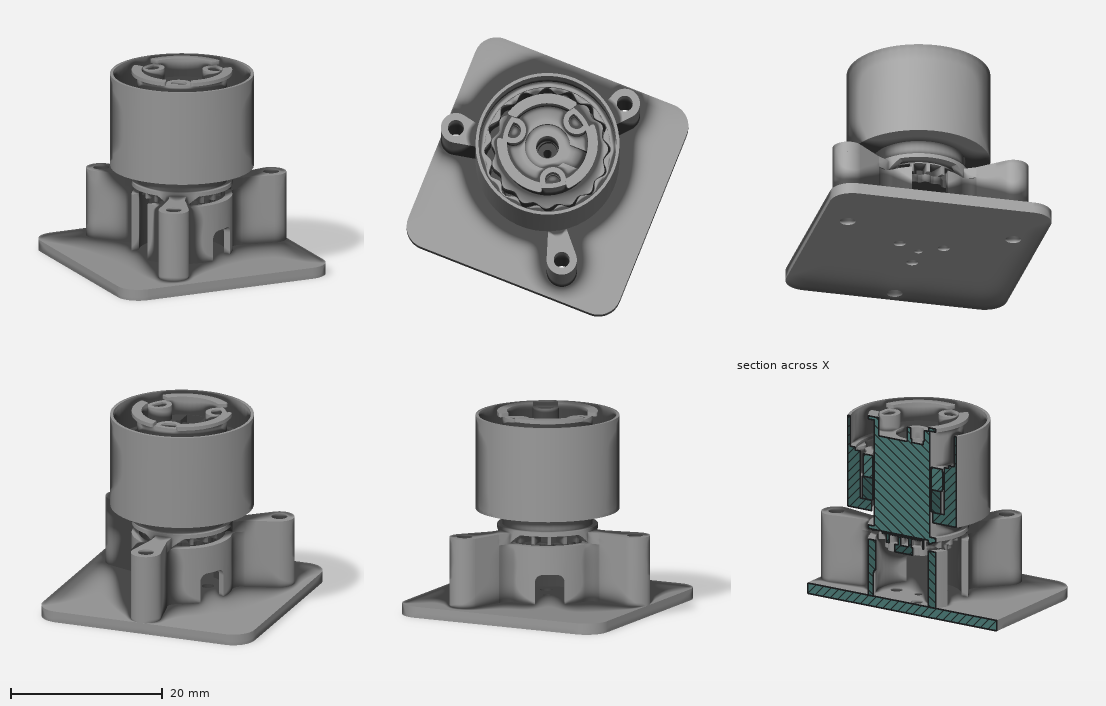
import cadquery as cq
import math

EAR_COUNT = 3
EAR_ANGLES = [90 + 360 / EAR_COUNT * i for i in range(EAR_COUNT)]
WINDOW_ANGLES = [angle + 180 / EAR_COUNT for angle in EAR_ANGLES]
EAR_PITCH_R = 13.0
EAR_BOSS_R = 2.0
SCREW_D = 2.1
EAR_NECK_START = 8.3
EAR_NECK_HALF_W = 1.1
CENTRE_HOLE_D = 1.1
TALL = 100.0

PLATE_SIZE = 30.0
PLATE_T = 1.5
PLATE_CORNER_R = 3.0
WIRE_HOLE_D = 1.6
WIRE_HOLE_PITCH_R = 3.46

STAND_TOP = 9.25
STAND_OD = 13.3
STAND_ID = 11.4
FLARE_ANGLE = 16.0
FRONT_GAP_W = 4.9
ARCH_W = 3.9
ARCH_H = 4.0
ARCH_CORNER_R = 1.0
ARCH_ANGLES = [angle for angle in WINDOW_ANGLES if angle % 360 != 270]

EAR_TOP = 10.75
FLANGE_TOP = 11.2
HUB_D = 11.9
HUB_TOP = 25.8
HOOK_OD = 13.3
HOOK_TOP = 26.3
HOOK_SLOT_W = 3.3
HOOK_CORNER_R = 0.3
POCKET_D = 10.7
POCKET_FLOOR = 23.8
VENT_TOP = 10.65
VENT_TOP_W = 7.7
VENT_BOTTOM_W = 10.4
VENT_NEAR_X = 1.5
VENT_FAR_X = 7.3
POST_D = 3.46
POST_PITCH_R = 4.9
POST_HOLE_D = 2.1
POST_BORE_D = 1.85
POST_HOLE_DEPTH = 1.5
POST_BORE_DEPTH = 0.5
RECESS_D = 6.0
RECESS_FLOOR = 23.2
SHAFT_HOLE_D = 3.0
SHAFT_HOLE_DEPTH = 4.0
SHAFT_SEAT_DEPTH = 1.0
SHAFT_SEAT_SHIFT = 0.22
CHUTE_W = 2.6
CHUTE_R = 1.6
CHUTE_END = 5.2

KNOB_OD = 19.0
KNOB_ID = 18.2
KNOB_BOTTOM = 13.2
KNOB_TOP = 25.8
KNOB_FLOOR_T = 1.5
KNOB_BORE_D = 12.4
LEDGE_Z = 21.6
LEDGE_ID = 16.7
LOBE_TOP = 21.2
KNOB_LOBES = 16
KNOB_LOBE_MEAN_R = 7.95
KNOB_LOBE_AMPLITUDE = 0.4

DISC_LOBES = KNOB_LOBES - 1
DISC_MEAN_R = 7.45
DISC_AMPLITUDE = 0.3
DISC_OFFSET = 0.28
DISC_DIRECTIONS = [90, 270]
DISC_BORE_D = 12.1
DISC_TOP = 20.9
DISC_T = (DISC_TOP - KNOB_BOTTOM - KNOB_FLOOR_T) / len(DISC_DIRECTIONS)
POINTS_PER_LOBE = 8

WHEEL_D = 10.5
WHEEL_BOTTOM = 8.15
WHEEL_TOP = 10.55
WHEEL_COVER_T = 0.15
VANE_COUNT = 15
VANE_T = 0.45
VANE_CORE_D = 6.0
GEAR_CORE_D = 8.2
GEAR_TOOTH_D = 1.6
GEAR_TOOTH_PITCH_R = 3.6


def cylinder(diameter, bottom, top):
    return cq.Workplane("XY").workplane(offset=bottom).circle(diameter / 2).extrude(top - bottom)


def tube(outer_d, inner_d, bottom, top):
    return cylinder(outer_d, bottom, top).cut(cylinder(inner_d, bottom, top))


def around(shape, angle):
    """Turn a feature built along +X to the given angle about Z."""
    return shape.rotate((0, 0, 0), (0, 0, 1), angle)


def ear(bottom, top):
    """Screw ear along +X: a round boss with straight sides that taper toward the axis."""
    lean = math.asin((EAR_BOSS_R - EAR_NECK_HALF_W) / (EAR_PITCH_R - EAR_NECK_START))
    tangent_x = EAR_PITCH_R - EAR_BOSS_R * math.sin(lean)
    tangent_y = EAR_BOSS_R * math.cos(lean)
    return (
        cq.Workplane("XY").workplane(offset=bottom)
        .moveTo(EAR_NECK_START, -EAR_NECK_HALF_W)
        .lineTo(tangent_x, -tangent_y)
        .threePointArc((EAR_PITCH_R + EAR_BOSS_R, 0), (tangent_x, tangent_y))
        .lineTo(EAR_NECK_START, EAR_NECK_HALF_W)
        .close().extrude(top - bottom)
    )


def screw_holes():
    return (
        cq.Workplane("XY")
        .polarArray(EAR_PITCH_R, EAR_ANGLES[0], 360, EAR_COUNT)
        .circle(SCREW_D / 2).extrude(TALL)
    )


def lobed_prism(lobes, mean_r, amplitude, phase, bottom, top):
    """Prism whose radius swings once per lobe, with a lobe tip at the phase angle."""
    count = lobes * POINTS_PER_LOBE
    outline = []
    for i in range(count):
        angle = 2 * math.pi * i / count
        radius = mean_r + amplitude * math.cos(lobes * angle)
        turned = angle + math.radians(phase)
        outline.append((radius * math.cos(turned), radius * math.sin(turned)))
    profile = cq.Workplane("XY").workplane(offset=bottom).spline(outline, periodic=True).close()
    return profile.extrude(top - bottom)


def make_plate():
    plate = (
        cq.Workplane("XY").rect(PLATE_SIZE, PLATE_SIZE).extrude(PLATE_T)
        .edges("|Z").fillet(PLATE_CORNER_R)
    )
    wire_holes = (
        cq.Workplane("XY")
        .polarArray(WIRE_HOLE_PITCH_R, EAR_ANGLES[0], 360, EAR_COUNT)
        .circle(WIRE_HOLE_D / 2).extrude(PLATE_T)
    )
    return plate.cut(screw_holes()).cut(wire_holes).cut(cylinder(CENTRE_HOLE_D, 0, PLATE_T))


def ear_flare():
    """Web along +X that blends the ear neck into the stand wall with two concave arcs."""
    wall_r = STAND_OD / 2
    flare = math.radians(FLARE_ANGLE)
    radial = (math.cos(flare), math.sin(flare))
    touch = (wall_r * radial[0], wall_r * radial[1])
    step = (EAR_NECK_START - touch[0], EAR_NECK_HALF_W - touch[1])
    blend_r = math.hypot(*step) ** 2 / (2 * (step[0] * radial[0] + step[1] * radial[1]))
    centre = ((wall_r + blend_r) * radial[0], (wall_r + blend_r) * radial[1])
    chord = ((EAR_NECK_START + touch[0]) / 2 - centre[0], (EAR_NECK_HALF_W + touch[1]) / 2 - centre[1])
    stretch = blend_r / math.hypot(*chord)
    mid = (centre[0] + chord[0] * stretch, centre[1] + chord[1] * stretch)
    return (
        cq.Workplane("XY").workplane(offset=PLATE_T)
        .moveTo(EAR_NECK_START, -EAR_NECK_HALF_W)
        .lineTo(EAR_NECK_START, EAR_NECK_HALF_W)
        .threePointArc(mid, touch)
        .lineTo(touch[0], -touch[1])
        .threePointArc((mid[0], -mid[1]), (EAR_NECK_START, -EAR_NECK_HALF_W))
        .close().extrude(STAND_TOP - PLATE_T)
    )


def make_stand():
    stand = cylinder(STAND_OD, PLATE_T, STAND_TOP)
    for angle in EAR_ANGLES:
        stand = stand.union(around(ear(PLATE_T, STAND_TOP), angle))
        stand = stand.union(around(ear_flare(), angle))
    stand = stand.cut(cylinder(STAND_ID, PLATE_T, STAND_TOP)).cut(screw_holes())
    front_gap = (
        cq.Workplane("XY").center(0, -STAND_OD / 2)
        .rect(FRONT_GAP_W, STAND_OD).extrude(TALL)
    )
    arch = (
        cq.Workplane("XY").box(STAND_OD, ARCH_W, ARCH_H, centered=(False, True, False))
        .edges("|X and >Z").fillet(ARCH_CORNER_R)
        .translate((0, 0, PLATE_T))
    )
    stand = stand.cut(front_gap)
    for angle in ARCH_ANGLES:
        stand = stand.cut(around(arch, angle))
    return stand


def hub_post(angle):
    """Round post in the top pocket, trimmed flush with the outside of the hub."""
    post = cylinder(POST_D, POCKET_FLOOR, HUB_TOP).translate((POST_PITCH_R, 0, 0))
    post = post.intersect(cylinder(HUB_D, POCKET_FLOOR, HUB_TOP))
    return around(post, angle)


def post_hole(angle):
    """Stepped hole in a post, cut off along the pocket wall so that it is D shaped."""
    step = HUB_TOP - POST_HOLE_DEPTH
    hole = cylinder(POST_HOLE_D, step, HUB_TOP)
    hole = hole.union(cylinder(POST_BORE_D, step - POST_BORE_DEPTH, HUB_TOP))
    hole = hole.translate((POST_PITCH_R, 0, 0))
    hole = hole.intersect(cylinder(POCKET_D, POCKET_FLOOR, HUB_TOP))
    return around(hole, angle)


def hook_ring():
    """Three hooks that overhang the hub, parted by a slot beside each post."""
    ring = tube(HOOK_OD, POCKET_D, HUB_TOP, HOOK_TOP)
    for angle in EAR_ANGLES:
        slot = (
            cq.Workplane("XY").workplane(offset=HUB_TOP)
            .center(HOOK_OD / 2, 0).rect(HOOK_OD, HOOK_SLOT_W).extrude(HOOK_TOP - HUB_TOP)
        )
        ring = ring.cut(around(slot, angle))
    outer_corners = ring.edges("|Z").filter(
        lambda edge: math.hypot(edge.Center().x, edge.Center().y) > HOOK_OD / 2 - HOOK_CORNER_R)
    return outer_corners.fillet(HOOK_CORNER_R)


def wire_chute():
    """Slot from the recess toward -Y whose floor rolls down in a quarter round."""
    roll_start = CHUTE_END - CHUTE_R
    roll_centre_z = RECESS_FLOOR - CHUTE_R
    diagonal = CHUTE_R * math.sqrt(0.5)
    return (
        cq.Workplane("YZ").workplane(offset=-CHUTE_W / 2)
        .moveTo(0, POCKET_FLOOR)
        .lineTo(0, RECESS_FLOOR)
        .lineTo(-roll_start, RECESS_FLOOR)
        .threePointArc((-roll_start - diagonal, roll_centre_z + diagonal), (-CHUTE_END, roll_centre_z))
        .lineTo(-CHUTE_END, POCKET_FLOOR)
        .close().extrude(CHUTE_W)
    )


def shaft_hole():
    """Blind round hole with a narrower lens-shaped seat below, the overlap of two shifted circles."""
    step = RECESS_FLOOR - SHAFT_HOLE_DEPTH
    seat_circle = cylinder(SHAFT_HOLE_D, step - SHAFT_SEAT_DEPTH, step)
    seat = seat_circle.translate((0, SHAFT_SEAT_SHIFT, 0))
    seat = seat.intersect(seat_circle.translate((0, -SHAFT_SEAT_SHIFT, 0)))
    return cylinder(SHAFT_HOLE_D, step, RECESS_FLOOR).union(seat)


def vent(angle):
    """Opening under the flange, between two ears, that spreads downward and outward from the axis."""
    wall_r = STAND_OD / 2
    top_slope = math.tan(math.asin(VENT_TOP_W / 2 / wall_r))
    bottom_slope = math.tan(math.asin(VENT_BOTTOM_W / 2 / wall_r))

    def section(x):
        wire = cq.Workplane("YZ").workplane(offset=x).polyline([
            (-bottom_slope * x, STAND_TOP),
            (bottom_slope * x, STAND_TOP),
            (top_slope * x, VENT_TOP),
            (-top_slope * x, VENT_TOP),
        ]).close()
        return wire.val()

    opening = cq.Solid.makeLoft([section(VENT_NEAR_X), section(VENT_FAR_X)], True)
    return around(cq.Workplane(opening), angle)


def make_hub():
    hub = cylinder(STAND_OD, STAND_TOP, FLANGE_TOP).cut(cylinder(STAND_ID, STAND_TOP, VENT_TOP))
    for angle in WINDOW_ANGLES:
        hub = hub.cut(vent(angle))
    neck = (
        cq.Workplane("XY")
        .box(EAR_NECK_START - STAND_ID / 2, 2 * EAR_NECK_HALF_W, EAR_TOP - STAND_TOP,
             centered=(False, True, False))
        .translate((STAND_ID / 2, 0, STAND_TOP))
    )
    for angle in EAR_ANGLES:
        hub = hub.union(around(ear(STAND_TOP, EAR_TOP).union(neck), angle))
    hub = hub.cut(screw_holes())
    hub = hub.union(cylinder(HUB_D, FLANGE_TOP, HUB_TOP).cut(cylinder(POCKET_D, POCKET_FLOOR, HUB_TOP)))
    hub = hub.union(hook_ring())
    for angle in EAR_ANGLES:
        hub = hub.union(hub_post(angle)).cut(post_hole(angle))
    hub = hub.cut(cylinder(RECESS_D, RECESS_FLOOR, POCKET_FLOOR)).cut(wire_chute())
    hub = hub.cut(shaft_hole())
    return hub.cut(cylinder(CENTRE_HOLE_D, 0, HUB_TOP))


def make_knob():
    knob = cylinder(KNOB_OD, KNOB_BOTTOM, KNOB_TOP)
    knob = knob.cut(cylinder(KNOB_ID, LEDGE_Z, KNOB_TOP))
    knob = knob.cut(cylinder(LEDGE_ID, LOBE_TOP, LEDGE_Z))
    knob = knob.cut(cylinder(KNOB_BORE_D, KNOB_BOTTOM, LOBE_TOP))
    return knob.cut(lobed_prism(
        KNOB_LOBES, KNOB_LOBE_MEAN_R, KNOB_LOBE_AMPLITUDE, 90, KNOB_BOTTOM + KNOB_FLOOR_T, LOBE_TOP))


def make_disc(direction, bottom):
    """Cycloidal disc pushed off centre along the given direction angle."""
    top = bottom + DISC_T
    disc = lobed_prism(DISC_LOBES, DISC_MEAN_R, DISC_AMPLITUDE, 0, bottom, top)
    disc = around(disc.translate((DISC_OFFSET, 0, 0)), direction)
    return disc.cut(cylinder(DISC_BORE_D, bottom, top))


def make_wheel():
    """Wheel of radial vanes under a thin cover, standing on a ring of rounded teeth."""
    wheel = cylinder(GEAR_CORE_D, WHEEL_BOTTOM, STAND_TOP)
    wheel = wheel.union(cylinder(VANE_CORE_D, STAND_TOP, WHEEL_TOP))
    wheel = wheel.union(cylinder(WHEEL_D, WHEEL_TOP - WHEEL_COVER_T, WHEEL_TOP))
    tooth = cylinder(GEAR_TOOTH_D, WHEEL_BOTTOM, STAND_TOP).translate((GEAR_TOOTH_PITCH_R, 0, 0))
    vane = (
        cq.Workplane("XY")
        .box(WHEEL_D / 2, VANE_T, WHEEL_TOP - STAND_TOP, centered=(False, True, False))
        .translate((0, 0, STAND_TOP))
        .intersect(cylinder(WHEEL_D, STAND_TOP, WHEEL_TOP))
    )
    for i in range(VANE_COUNT):
        angle = 360 / VANE_COUNT * i - 90
        wheel = wheel.union(around(tooth, angle)).union(around(vane, angle))
    return wheel.cut(cylinder(CENTRE_HOLE_D, WHEEL_BOTTOM, WHEEL_TOP))


plate = make_plate()
stand = make_stand()
wheel = make_wheel()
hub = make_hub()
knob = make_knob()
discs = [
    make_disc(direction, KNOB_BOTTOM + KNOB_FLOOR_T + DISC_T * level)
    for level, direction in enumerate(DISC_DIRECTIONS)
]

bodies = [plate, stand, wheel, hub, knob, *discs]
result = cq.Compound.makeCompound([body.solids().val() for body in bodies])